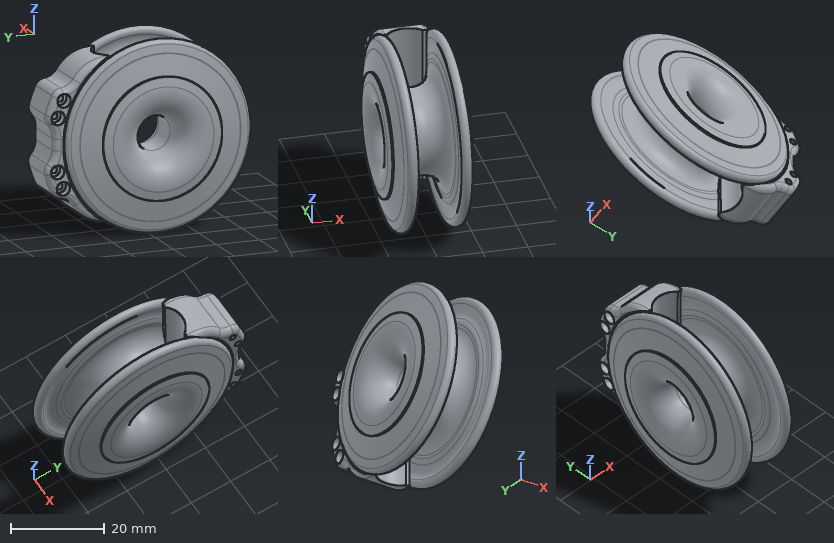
import cadquery as cq
import math


RIM_RADIUS = 21.5
RIM_ROUND = 1.2
GROOVE_ROUND = 4.75
GROOVE_CENTER_RADIUS = 14.3
BORE_DIAMETER = 8.0
HALF_WIDTH = 9.55
BELL_ROUND = 6.25
CONE_ANGLE = math.radians(12.5)
HUB_RADIUS = 13.75
LEDGE_INNER_RADIUS = 18.5
LEDGE_OUTER_RADIUS = 18.65

LIP_START_RADIUS = 15.05
LIP_ROUND = 2.85
DISH_ROUND = 3.3

KEEPER_TURN = 0.5
KEEPER_HALF_WIDTH = 6.0
KEEPER_INNER_Y = 10.85
KEEPER_WAIST_Y = 23.87
WAIST_HALF_LENGTH = 1.3
KEEPER_EDGE_ROUND = 1.5
RIM_CLEARANCE = 0.3
SHOULDER_CENTER = (11.4, 9.2)
SHOULDER_RADIUS = 9.15
NECK_ROUND = 3.68
ROPE_CHANNEL_RADIUS = 5.0
ROPE_CHANNEL_APEX_Y = 12.7

HOLE_CIRCLE_RADIUS = 23.8
HOLE_ANGLES = (14.6, 24.2)
HOLE_DIAMETER = 1.5
COUNTERBORE_DIAMETER = 3.0
COUNTERBORE_DEPTH = 2.35
LOBE_RADIUS = 2.55


def polar(center, radius, angle):
    """Point at a distance and angle (radians) from a center."""
    return (center[0] + radius * math.cos(angle), center[1] + radius * math.sin(angle))


def toward(start, end, distance):
    """Point at a distance from start on the way to end."""
    return polar(start, distance, math.atan2(end[1] - start[1], end[0] - start[0]))


def circle_crossing(center_a, radius_a, center_b, radius_b):
    """Crossing of two circles on the left of the way from center_a to center_b."""
    span = math.dist(center_a, center_b)
    along = (radius_a**2 - radius_b**2 + span**2) / (2 * span)
    heading = math.atan2(center_b[1] - center_a[1], center_b[0] - center_a[0])
    return polar(center_a, radius_a, heading + math.acos(along / radius_a))


def arc_middle(center, radius, start, end):
    """Middle point of the shorter arc from start to end."""
    halfway = ((start[0] + end[0]) / 2, (start[1] + end[1]) / 2)
    return toward(center, halfway, radius)


def revolve_grooved(steps):
    """Revolve a section (x, radius), symmetric about x = 0, whose outside holds the rope groove.

    Each step is (via, end) and leads from the groove's top edge to the inside of the section on
    the +X side; via is a point on an arc, or None for a straight line.
    """
    groove_top = (GROOVE_ROUND, GROOVE_CENTER_RADIUS)
    section = cq.Workplane("XY").moveTo(*groove_top)
    for via, end in steps:
        section = section.threePointArc(via, end) if via else section.lineTo(*end)

    vias = [via for via, _ in steps]
    ends = [groove_top] + [end for _, end in steps]
    section = section.lineTo(-ends[-1][0], ends[-1][1])
    for via, (end_x, end_radius) in zip(reversed(vias), reversed(ends[:-1])):
        end = (-end_x, end_radius)
        section = section.threePointArc((-via[0], via[1]), end) if via else section.lineTo(*end)

    groove_bottom = (0, GROOVE_CENTER_RADIUS - GROOVE_ROUND)
    return section.threePointArc(groove_bottom, groove_top).close().revolve(360, (0, 0), (1, 0))


def make_sheave():
    """Revolve the mirrored half section (x, radius) about X."""
    bore_radius = BORE_DIAMETER / 2
    rim_center = (GROOVE_ROUND + RIM_ROUND, RIM_RADIUS - RIM_ROUND)
    bell_center = (HALF_WIDTH - BELL_ROUND, bore_radius + BELL_ROUND)
    lip_center = (GROOVE_ROUND + LIP_ROUND, LIP_START_RADIUS)
    dish_center = circle_crossing(
        lip_center, LIP_ROUND + DISH_ROUND, rim_center, RIM_ROUND + DISH_ROUND
    )

    lip_start = (GROOVE_ROUND, LIP_START_RADIUS)
    dish_start = toward(lip_center, dish_center, LIP_ROUND)
    dish_end = toward(rim_center, dish_center, RIM_ROUND)
    rim_end = polar(rim_center, RIM_ROUND, CONE_ANGLE)
    bell_start = polar(bell_center, BELL_ROUND, CONE_ANGLE)

    slope = math.tan(CONE_ANGLE)
    ledge_x = rim_end[0] + (rim_end[1] - LEDGE_OUTER_RADIUS) * slope
    flange_x = ledge_x + (LEDGE_INNER_RADIUS - HUB_RADIUS) * slope
    hub_edge_x = bell_start[0] - (HUB_RADIUS - bell_start[1]) * slope

    steps = [
        (None, lip_start),
        (arc_middle(lip_center, LIP_ROUND, lip_start, dish_start), dish_start),
        (arc_middle(dish_center, DISH_ROUND, dish_start, dish_end), dish_end),
        (polar(rim_center, RIM_ROUND, math.pi / 2), rim_end),
        (None, (ledge_x, LEDGE_OUTER_RADIUS)),
        (None, (ledge_x, LEDGE_INNER_RADIUS)),
        (None, (flange_x, HUB_RADIUS)),
        (None, (hub_edge_x, HUB_RADIUS)),
        (None, bell_start),
        (polar(bell_center, BELL_ROUND, -math.pi / 4), (bell_center[0], bore_radius)),
    ]
    return revolve_grooved(steps)


def make_seat():
    """Solid of revolution that frees the keeper from the groove, flange walls and rims."""
    outer_radius = RIM_RADIUS + RIM_CLEARANCE
    seat_center = (GROOVE_ROUND + RIM_ROUND, outer_radius - RIM_ROUND)
    seat_top = (seat_center[0], outer_radius)
    steps = [
        (None, (GROOVE_ROUND, seat_center[1])),
        (polar(seat_center, RIM_ROUND, 3 * math.pi / 4), seat_top),
        (None, (HALF_WIDTH, outer_radius)),
        (None, (HALF_WIDTH, BORE_DIAMETER / 2)),
    ]
    return revolve_grooved(steps)


def make_keeper_blank():
    """Extrude the keeper outline (y, z) along X and round its outer side edges."""
    axis = (0, 0)
    inner_hole, outer_hole = [
        polar(axis, HOLE_CIRCLE_RADIUS, math.radians(angle)) for angle in HOLE_ANGLES
    ]
    crown_radius = HOLE_CIRCLE_RADIUS + LOBE_RADIUS
    crown_start, crown_end = [
        polar(axis, crown_radius, math.radians(angle)) for angle in HOLE_ANGLES
    ]

    rise = inner_hole[1] - WAIST_HALF_LENGTH
    setback = KEEPER_WAIST_Y - inner_hole[0]
    waist_round = (rise**2 + setback**2 - LOBE_RADIUS**2) / (2 * (LOBE_RADIUS - setback))
    waist_center = (KEEPER_WAIST_Y + waist_round, WAIST_HALF_LENGTH)
    waist_end = (KEEPER_WAIST_Y, WAIST_HALF_LENGTH)
    inner_lobe_start = toward(inner_hole, waist_center, LOBE_RADIUS)

    neck_center = circle_crossing(
        SHOULDER_CENTER, SHOULDER_RADIUS + NECK_ROUND, outer_hole, LOBE_RADIUS + NECK_ROUND
    )
    outer_lobe_end = toward(outer_hole, neck_center, LOBE_RADIUS)
    shoulder_start = toward(SHOULDER_CENTER, neck_center, SHOULDER_RADIUS)
    tip_reach = KEEPER_INNER_Y - SHOULDER_CENTER[0]
    tip_z = SHOULDER_CENTER[1] + math.sqrt(SHOULDER_RADIUS**2 - tip_reach**2)
    tip = (KEEPER_INNER_Y, tip_z)

    arcs = [
        (waist_center, waist_round, waist_end, inner_lobe_start),
        (inner_hole, LOBE_RADIUS, inner_lobe_start, crown_start),
        (axis, crown_radius, crown_start, crown_end),
        (outer_hole, LOBE_RADIUS, crown_end, outer_lobe_end),
        (neck_center, NECK_ROUND, outer_lobe_end, shoulder_start),
        (SHOULDER_CENTER, SHOULDER_RADIUS, shoulder_start, tip),
    ]
    outline = (
        cq.Workplane("YZ", origin=(-KEEPER_HALF_WIDTH, 0, 0))
        .moveTo(KEEPER_INNER_Y, 0)
        .lineTo(KEEPER_WAIST_Y, 0)
        .lineTo(*waist_end)
    )
    for center, radius, start, end in arcs:
        outline = outline.threePointArc(arc_middle(center, radius, start, end), end)
    half = outline.close().extrude(2 * KEEPER_HALF_WIDTH)
    blank = half.union(half.mirror("XY")).clean()

    side_edges = cq.selectors.SumSelector(
        cq.selectors.BoxSelector((-9.43, KEEPER_INNER_Y + 0.25, -28.3), (-4.7, 28.3, 28.3)),
        cq.selectors.BoxSelector((4.7, KEEPER_INNER_Y + 0.25, -28.3), (9.43, 28.3, 28.3)),
    )
    return blank.edges(side_edges).fillet(KEEPER_EDGE_ROUND)


def make_cross_drills():
    """Stepped drills along X, with the wide step on the -X side."""
    centers = [
        polar((0, 0), HOLE_CIRCLE_RADIUS, side * math.radians(angle))
        for angle in HOLE_ANGLES
        for side in (1, -1)
    ]
    side_face = cq.Workplane("YZ", origin=(-KEEPER_HALF_WIDTH, 0, 0)).pushPoints(centers)
    holes = side_face.circle(HOLE_DIAMETER / 2).extrude(2 * KEEPER_HALF_WIDTH)
    counterbores = side_face.circle(COUNTERBORE_DIAMETER / 2).extrude(COUNTERBORE_DEPTH)
    return holes.union(counterbores)


def make_rope_channel():
    """Round bar along Z that hollows the inner face of the keeper."""
    center_y = ROPE_CHANNEL_APEX_Y - ROPE_CHANNEL_RADIUS
    bar = cq.Workplane("XY", origin=(0, center_y, 0)).circle(ROPE_CHANNEL_RADIUS)
    return bar.extrude(RIM_RADIUS, both=True)


def make_keeper():
    """Blank fitted over the sheave, with a rope channel and cross holes."""
    keeper = make_keeper_blank()
    for cutter in (make_rope_channel(), make_seat(), make_cross_drills()):
        keeper = keeper.cut(cutter, clean=False)
    return keeper.rotate((0, 0, 0), (1, 0, 0), KEEPER_TURN)


sheave = make_sheave()
keeper = make_keeper()
result = cq.Compound.makeCompound([sheave.val(), keeper.val()])